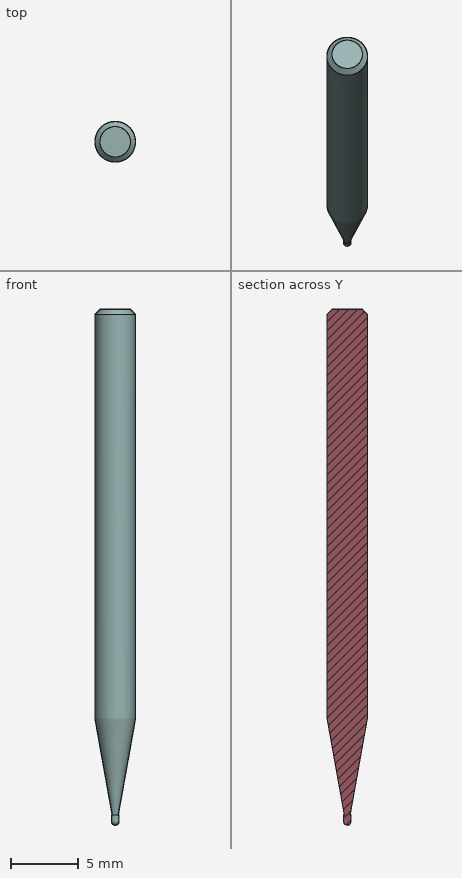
import cadquery as cq
import math

total_length = 38.0
shank_radius = 1.5
end_chamfer = 0.38
taper_start = 7.85
neck_radius = 0.23
ball_radius = 0.285
head_top = 0.75

shank_end_radius = shank_radius - end_chamfer
ball_arc_offset = ball_radius * math.sqrt(0.5)

profile = (
    cq.Workplane("XZ")
    .moveTo(0, 0)
    .threePointArc(
        (ball_arc_offset, ball_radius - ball_arc_offset),
        (ball_radius, ball_radius),
    )
    .lineTo(ball_radius, head_top)
    .lineTo(neck_radius, head_top)
    .lineTo(shank_radius, taper_start)
    .lineTo(shank_radius, total_length - end_chamfer)
    .lineTo(shank_end_radius, total_length)
    .lineTo(0, total_length)
    .close()
)

result = profile.revolve(360, (0, 0, 0), (0, 1, 0))